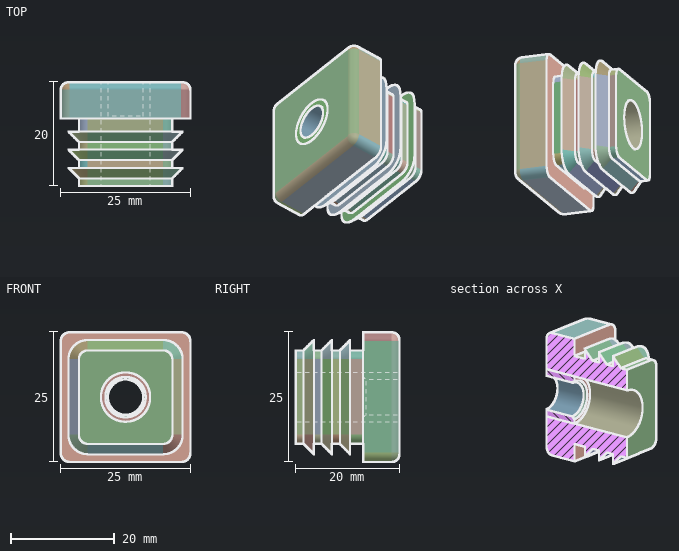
import cadquery as cq


head_side = 25.0
head_thickness = 7.0
head_rim_radius = 1.5

shank_side = 18.0
shank_length = 13.0
corner_radius = 1.75

rib_count = 3
rib_height = 2.0
rib_pitch = 3.5
rib_end_offset = 1.5
rib_flank_angle = 45.0

insert_diameter = 9.5
insert_length = head_thickness
thread_diameter = 6.8
thread_chamfer = 0.5

shank_end = -shank_length


def square_bar(side, y_start, length, flare_angle=0.0):
    """Rounded square bar along +Y; a flare angle widens it toward its far end."""
    outline = cq.Sketch().rect(side, side).vertices().fillet(corner_radius)
    plane = cq.Workplane("XZ", origin=(0, y_start, 0))
    return plane.placeSketch(outline).extrude(-length, taper=-flare_angle)


def round_bar(diameter, y_start, length):
    """Round bar along +Y."""
    return cq.Workplane("XZ", origin=(0, y_start, 0)).circle(diameter / 2).extrude(-length)


def make_head():
    head = square_bar(head_side, 0, head_thickness)
    return head.faces(">Y").edges().fillet(head_rim_radius)


def make_rib(y_start):
    """One rib, with a flank as long as it is high, on a core that merges with the shank."""
    return square_bar(shank_side, y_start, rib_height, rib_flank_angle)


def make_plug():
    """Head, shank and ribs in one body, bored through for the insert."""
    plug = make_head().union(square_bar(shank_side, shank_end, shank_length))
    for index in range(rib_count):
        plug = plug.union(make_rib(shank_end + rib_end_offset + index * rib_pitch))
    bore_length = shank_length + head_thickness
    return plug.cut(round_bar(insert_diameter, shank_end, bore_length))


def make_insert():
    """Sleeve flush with the head's outer face, its hole chamfered on the shank side."""
    y_start = head_thickness - insert_length
    sleeve = round_bar(insert_diameter, y_start, insert_length)
    sleeve = sleeve.cut(round_bar(thread_diameter, y_start, insert_length))
    hole_rim = sleeve.faces("<Y").edges(cq.selectors.RadiusNthSelector(0))
    return hole_rim.chamfer(thread_chamfer)


plug = make_plug()
insert = make_insert()

result = cq.Compound.makeCompound([plug.val(), insert.val()])